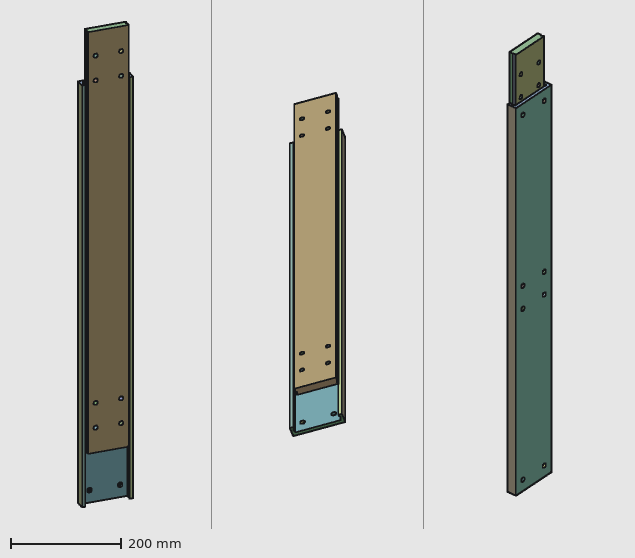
import cadquery as cq


total_depth = 24.0
member_length = 850.0
extension = 107.77

housing_width = 100.0
housing_depth = 20.0
floor_thickness = 7.0
channel_width = 87.0
housing_hole_diameter = 9.0
housing_hole_spacing = 60.0
housing_end_hole_margin = 25.0
housing_middle_hole_offset = 25.0

slider_width = 80.0
slider_clearance = 2.0
slider_hole_diameter = 8.0
slider_hole_spacing = 50.0
slider_hole_margins = (50.0, 100.0)

track_diameter = 7.0
track_x = (floor_thickness + housing_depth) / 2
track_y = (channel_width + slider_width) / 4

slider_back = floor_thickness + slider_clearance
slider_depth = total_depth - slider_back


def upright_block(x_start, depth, width, z_start, length):
    """Block centred on Y, starting at the given X and Z."""
    block = cq.Workplane("XY").box(depth, width, length, centered=(False, True, False))
    return block.translate((x_start, 0, z_start))


def ball_tracks(z_start):
    """Round cutters for the two ball tracks, over the length of one member."""
    centres = [(track_x, -track_y), (track_x, track_y)]
    return (
        cq.Workplane("XY", origin=(0, 0, z_start))
        .pushPoints(centres)
        .circle(track_diameter / 2)
        .extrude(member_length)
    )


def mounting_holes(diameter, spacing, heights):
    """Cutters along X for pairs of holes at the given heights."""
    centres = [(side * spacing / 2, z) for z in heights for side in (-1, 1)]
    return cq.Workplane("YZ").pushPoints(centres).circle(diameter / 2).extrude(total_depth)


def make_housing():
    middle = member_length / 2
    heights = [
        housing_end_hole_margin,
        middle - housing_middle_hole_offset,
        middle + housing_middle_hole_offset,
        member_length - housing_end_hole_margin,
    ]
    channel_depth = housing_depth - floor_thickness
    body = upright_block(0, housing_depth, housing_width, 0, member_length)
    body = body.cut(upright_block(floor_thickness, channel_depth, channel_width, 0, member_length))
    body = body.cut(ball_tracks(0))
    return body.cut(mounting_holes(housing_hole_diameter, housing_hole_spacing, heights))


def make_slider():
    bottom = extension
    top = extension + member_length
    heights = [bottom + margin for margin in slider_hole_margins]
    heights += [top - margin for margin in slider_hole_margins]
    body = upright_block(slider_back, slider_depth, slider_width, bottom, member_length)
    body = body.cut(ball_tracks(bottom))
    return body.cut(mounting_holes(slider_hole_diameter, slider_hole_spacing, heights))


housing = make_housing()
slider = make_slider()

result = cq.Compound.makeCompound([housing.val(), slider.val()])